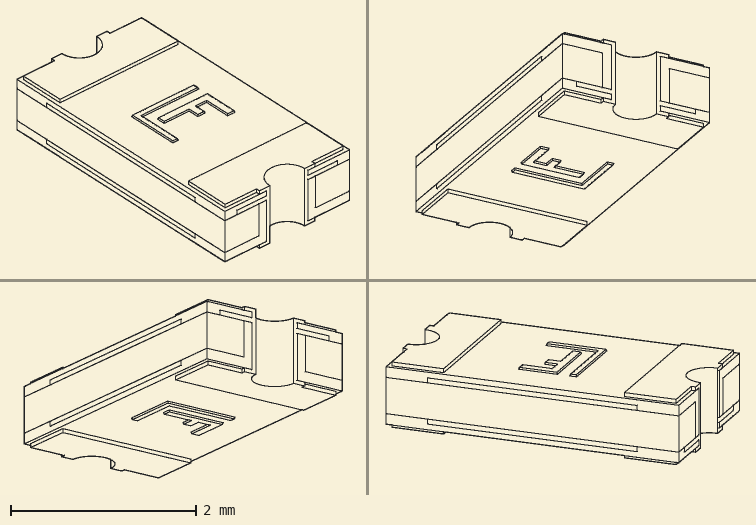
import cadquery as cq
import math


LENGTH = 3.4
WIDTH = 1.8
HEIGHT = 0.75

PAD_THICKNESS = 0.045
COVER_THICKNESS = 0.065
ELECTRODE_THICKNESS = 0.057
COVER_TOP = HEIGHT / 2 - PAD_THICKNESS
ELECTRODE_TOP = COVER_TOP - COVER_THICKNESS
CORE_TOP = ELECTRODE_TOP - ELECTRODE_THICKNESS

NOTCH_RADIUS = 0.25
BARREL_RADIUS = 0.3
RING_RADIUS = 0.41

PAD_INSET = 0.05
PAD_LENGTH = 0.6
PAD_TAB_WIDTH = 0.8

ELECTRODE_LENGTH = 2.43
ELECTRODE_TAB_WIDTH = 1.45

LETTER_HEIGHT = 0.02
LETTER_DRAFT = 20
LETTER_INSET = LETTER_HEIGHT * math.tan(math.radians(LETTER_DRAFT))
LETTERS_LEFT = -0.337
LETTERS_RIGHT = 0.337
LETTERS_TOP = 0.45
LETTERS_BOTTOM = -0.447
L_STROKE = 0.08
F_STROKE = 0.107
F_LEFT = -0.114
F_BOTTOM = -0.268
F_ARM_RIGHT = 0.135
F_ARM_TOP = 0.198


def block(x_min, x_max, width, z_min, z_max):
    """Box centred on the XZ plane."""
    base = cq.Workplane("XY", origin=((x_min + x_max) / 2, 0, z_min))
    return base.rect(x_max - x_min, width).extrude(z_max - z_min)


def end_half_disc(radius, z_min, z_max):
    """Half disc centred on the -X end face, bulging into the part."""
    return (
        cq.Workplane("XY", origin=(-LENGTH / 2, 0, z_min))
        .moveTo(0, -radius)
        .threePointArc((radius, 0), (0, radius))
        .close()
        .extrude(z_max - z_min)
    )


def turn_over(body):
    """Half turn about Y: swaps the two ends and the two faces."""
    return body.rotate((0, 0, 0), (0, 1, 0), 180)


def make_pad(z_min):
    end_x = -LENGTH / 2
    pad_x = end_x + PAD_INSET
    z_max = z_min + PAD_THICKNESS
    plate = block(pad_x, pad_x + PAD_LENGTH, WIDTH - 2 * PAD_INSET, z_min, z_max)
    tab = block(end_x, pad_x + PAD_LENGTH, PAD_TAB_WIDTH, z_min, z_max)
    return plate.union(tab)


def make_terminal():
    """-X terminal: two pads, the plated barrel and the lower electrode, in one piece."""
    half_length = ELECTRODE_LENGTH / 2
    electrode = block(-half_length, half_length, WIDTH, -ELECTRODE_TOP, -CORE_TOP)
    electrode_tab = block(-LENGTH / 2, half_length, ELECTRODE_TAB_WIDTH, -ELECTRODE_TOP, -CORE_TOP)
    barrel = end_half_disc(BARREL_RADIUS, -HEIGHT / 2, HEIGHT / 2)
    notch = end_half_disc(NOTCH_RADIUS, -HEIGHT / 2, HEIGHT / 2)
    return (
        electrode.union(electrode_tab)
        .union(barrel)
        .union(make_pad(COVER_TOP))
        .union(make_pad(-HEIGHT / 2))
        .cut(notch)
    )


def make_cover(terminals):
    """Upper cover, with a ring through the core that insulates it from the -X barrel."""
    cover = block(-LENGTH / 2, LENGTH / 2, WIDTH, CORE_TOP, COVER_TOP)
    cover = cover.union(end_half_disc(RING_RADIUS, -CORE_TOP, COVER_TOP))
    notch = end_half_disc(NOTCH_RADIUS, -HEIGHT / 2, HEIGHT / 2)
    cover = cover.cut(notch).cut(turn_over(notch))
    for terminal in terminals:
        cover = cover.cut(terminal)
    return cover


def make_core():
    core = block(-LENGTH / 2, LENGTH / 2, WIDTH, -CORE_TOP, CORE_TOP)
    ring_hole = end_half_disc(RING_RADIUS, -CORE_TOP, CORE_TOP)
    return core.cut(ring_hole).cut(turn_over(ring_hole))


def raise_letter(outline):
    """Letter on the upper cover with sloping walls; the outline is its base."""
    foot = cq.Workplane("XY", origin=(0, 0, COVER_TOP)).polyline(outline).close().val()
    (inset_foot,) = foot.offset2D(-LETTER_INSET, "intersection")
    crown = inset_foot.translate(cq.Vector(0, 0, LETTER_HEIGHT))
    return cq.Workplane(cq.Solid.makeLoft([foot, crown], True))


def make_letter_l():
    stem_right = LETTERS_LEFT + L_STROKE
    foot_top = LETTERS_BOTTOM + L_STROKE
    return raise_letter([
        (LETTERS_LEFT, LETTERS_TOP),
        (LETTERS_LEFT, LETTERS_BOTTOM),
        (LETTERS_RIGHT, LETTERS_BOTTOM),
        (LETTERS_RIGHT, foot_top),
        (stem_right, foot_top),
        (stem_right, LETTERS_TOP),
    ])


def make_letter_f():
    stem_right = F_LEFT + F_STROKE
    bar_bottom = LETTERS_TOP - F_STROKE
    arm_bottom = F_ARM_TOP - F_STROKE
    return raise_letter([
        (F_LEFT, LETTERS_TOP),
        (F_LEFT, F_BOTTOM),
        (stem_right, F_BOTTOM),
        (stem_right, arm_bottom),
        (F_ARM_RIGHT, arm_bottom),
        (F_ARM_RIGHT, F_ARM_TOP),
        (stem_right, F_ARM_TOP),
        (stem_right, bar_bottom),
        (LETTERS_RIGHT, bar_bottom),
        (LETTERS_RIGHT, LETTERS_TOP),
    ])


core = make_core()
left_terminal = make_terminal()
right_terminal = turn_over(left_terminal)
upper_cover = make_cover([left_terminal, right_terminal])
upper_letters = [make_letter_l(), make_letter_f()]

bodies = [core, left_terminal, right_terminal]
for upper_body in [upper_cover, *upper_letters]:
    bodies.append(upper_body)
    bodies.append(turn_over(upper_body))

result = cq.Compound.makeCompound([body.solids().val() for body in bodies])